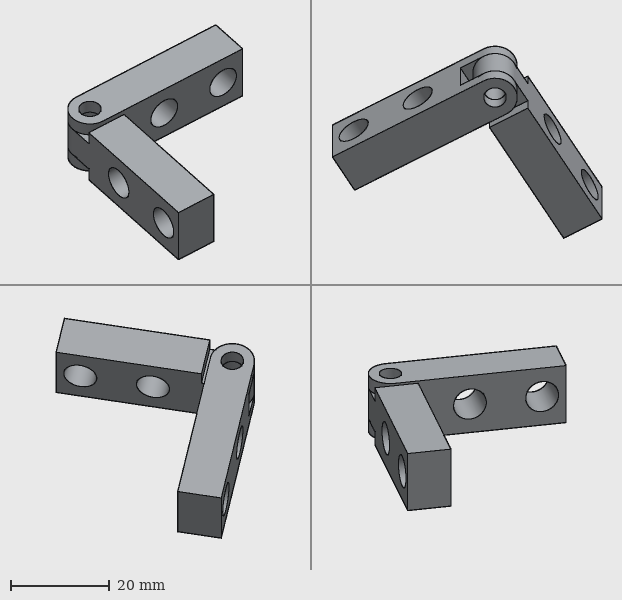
import cadquery as cq

arm_length = 40.0
arm_width = 9.0
arm_height = 13.0
tongue_height = 7.0
hinge_reach = 10.0
pivot_hole_diameter = 4.5
mount_hole_diameter = 6.8
mount_hole_places = (20.0, 35.0)

pivot = arm_width / 2
tongue_base = (arm_height - tongue_height) / 2


def rounded_bar(length, height):
    """Bar along +X with a half-round end about the pivot, standing on Z = 0."""
    return (
        cq.Workplane("XY")
        .moveTo(pivot, 0)
        .lineTo(length, 0)
        .lineTo(length, arm_width)
        .lineTo(pivot, arm_width)
        .threePointArc((0, pivot), (pivot, 0))
        .close()
        .extrude(height)
    )


def drill_arm(arm):
    """Cut the pivot hole and the mounting holes through an arm lying along +X."""
    pivot_hole = (
        cq.Workplane("XY").center(pivot, pivot).circle(pivot_hole_diameter / 2).extrude(arm_height)
    )
    mount_holes = (
        cq.Workplane("XZ")
        .pushPoints([(place, arm_height / 2) for place in mount_hole_places])
        .circle(mount_hole_diameter / 2)
        .extrude(-arm_width)
    )
    return arm.cut(pivot_hole).cut(mount_holes)


def make_tongue_arm():
    """Arm along +X whose thinner tongue fits between the fork cheeks."""
    tongue = rounded_bar(arm_length, tongue_height).translate((0, 0, tongue_base))
    block = cq.Workplane("XY").box(
        arm_length - hinge_reach, arm_width, arm_height, centered=False
    ).translate((hinge_reach, 0, 0))
    return drill_arm(tongue.union(block))


def make_fork_arm():
    """Arm along +Y with a slot across its hinged end for the tongue."""
    slot = cq.Workplane("XY").box(
        hinge_reach, arm_width, tongue_height, centered=False
    ).translate((0, 0, tongue_base))
    arm = drill_arm(rounded_bar(arm_length, arm_height).cut(slot))
    return arm.rotate((pivot, pivot, 0), (pivot, pivot, 1), 90)


tongue_arm = make_tongue_arm()
fork_arm = make_fork_arm()

result = cq.Compound.makeCompound([tongue_arm.val(), fork_arm.val()])